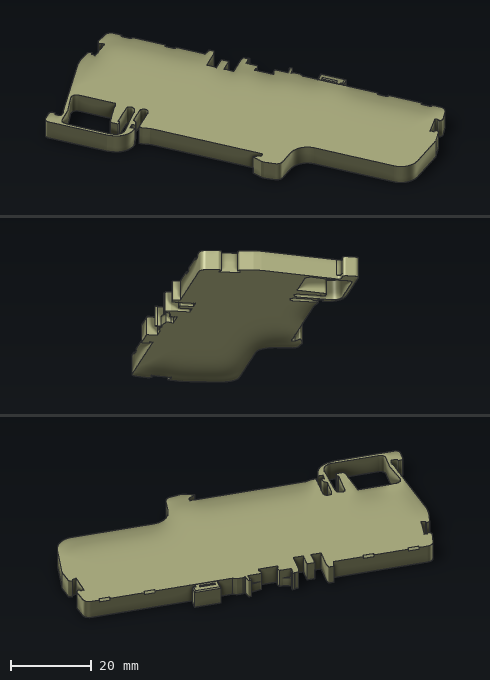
import cadquery as cq
import math


LENGTH = 93.91
HEIGHT = 42.41
THICKNESS = 5.0

HALF_LENGTH = LENGTH / 2
TOP_OF_TAG = HEIGHT / 2
FOOT_BOTTOM = -HEIGHT / 2
Z_BOTTOM = -THICKNESS / 2
Z_TOP = THICKNESS / 2

TOP_EDGE = 18.5
RAIL_EDGE = -14.9
SHOULDER_EDGE = -8.1
OVERLAP = 0.5

FOOT_LEFT = -46.65
FOOT_TOP = -17.15
FOOT_RADIUS = 1.2
FOOT_TOP_RADIUS = 0.8
FOOT_WALL = 0.85
WINDOW_TOP = -8.3
WINDOW_LEFT = -42.6
TONGUE_BOTTOM = -16.0
TONGUE_RIGHT = -29.4
TONGUE_BARB = 0.4
TONGUE_BARB_HEIGHT = 1.1

ARM_SLOT_LEFT = -26.0
ARM_SLOT_RIGHT = -23.75
ARM_SLOT_TOP = -8.0

RELIEF_LEFT = -45.2
RELIEF_RIGHT = -43.45
RELIEF_FLOOR = -17.75
RELIEF_TOP = -16.1
LEDGE_THICKNESS = 1.0

PEG_AXIS = -13.4
PEG_TOP = 20.35
PEG_WIDTH = 1.7
PEG_TAPER = 0.3
PEG_TAPER_START = 19.0
PEG_FLARE = 0.3
PEG_FLARE_TOP = 19.95
BRIDGE_SLOT_FLOOR = 14.3
BRIDGE_SLOT_OUTER = 3.55
POST_HALF_WIDTH = 1.0
POST_TOP = 17.7
HOOK_TOP = 20.6
HOOK_DEPTH = 0.6
HOOK_REACH = 0.3
HOOK_LENGTH = 0.65

LATCH_FLOOR = 16.6
LATCH_LEFT = -5.15
LATCH_RIGHT = -0.25
LATCH_UNDERCUT = 0.3
LATCH_UNDERCUT_TOP = 17.2
LATCH_LEAD_IN = 0.7
PIN_LEFT = 2.9
PIN_HOOK_LEFT = 2.6
HUMP_LEFT = 3.7
HUMP_RIGHT = 6.9
HUMP_RISE = 0.5
PEG_HOOK_ROOT = PEG_AXIS + BRIDGE_SLOT_OUTER + PEG_WIDTH
PEG_WEDGE_END = -6.1
PIN_WEDGE_END = -0.2
WEDGE_RISE = 0.6
WEDGE_HEIGHT = THICKNESS / 2

TAG_LEFT = 10.55
TAG_RIGHT = 17.35
TAG_NECK_RIGHT = 16.5
TAG_DROP = 0.1
TAG_NECK_TOP = 19.2
TAG_CHAMFER = 0.3
RAMP_LEFT = 11.6
RAMP_RIGHT = 15.5
RAMP_START = 19.7
RAMP_END = 19.1
RAMP_DEPTH = 0.35

RECESS_OFFSETS = (28.05, 39.6)
RECESS_WIDTH = 2.7
RECESS_INSET = 0.55
RECESS_DEPTH = 0.55


def rounded_corner(before, corner, after):
    """Start, middle and end of the arc that rounds a corner; the middle is None if it is sharp."""
    x, y, radius = corner
    point = cq.Vector(x, y)
    if radius == 0:
        return point, None, point
    to_before = (cq.Vector(*before[:2]) - point).normalized()
    to_after = (cq.Vector(*after[:2]) - point).normalized()
    half_angle = to_before.getAngle(to_after) / 2
    setback = radius / math.tan(half_angle)
    bisector = (to_before + to_after).normalized()
    middle = point + bisector * (radius / math.sin(half_angle) - radius)
    return point + to_before * setback, middle, point + to_after * setback


def rounded_outline(corners):
    """Closed outline through (x, y, radius) corners; a radius of 0 leaves the corner sharp."""
    following = corners[1:] + corners[:1]
    preceding = corners[-1:] + corners[:-1]
    arcs = [rounded_corner(*trio) for trio in zip(preceding, corners, following)]
    first_start, first_middle, first_end = arcs[0]
    outline = cq.Workplane("XY", origin=(0, 0, Z_BOTTOM)).moveTo(first_end.x, first_end.y)
    for start, middle, end in arcs[1:]:
        outline = outline.lineTo(start.x, start.y)
        if middle is not None:
            outline = outline.threePointArc((middle.x, middle.y), (end.x, end.y))
    if first_middle is not None:
        outline = outline.lineTo(first_start.x, first_start.y)
        outline = outline.threePointArc((first_middle.x, first_middle.y), (first_end.x, first_end.y))
    return outline.close()


def plate(corners, thickness=THICKNESS):
    """Solid standing on the bottom face with the given rounded outline."""
    return rounded_outline(corners).extrude(thickness)


def block(x_min, x_max, y_min, y_max, z_min=Z_BOTTOM, z_max=Z_TOP):
    """Axis-aligned box between the given limits."""
    size = (x_max - x_min, y_max - y_min, z_max - z_min)
    return cq.Workplane("XY").box(*size, centered=False).translate((x_min, y_min, z_min))


def mirrored(corners):
    """The same corners mirrored across the YZ plane, in reverse order."""
    return [(-x, y, radius) for x, y, radius in reversed(corners)]


def housing():
    """Main plate with the snap notches at both ends, the rail hook and the outside of the foot."""
    end_notch = [
        (44.65, TOP_EDGE, 1.8),
        (45.55, 13.9, 0.5),
        (45.0, 13.05, 0.2),
        (44.4, 13.5, 0),
        (43.6, 13.5, 0),
        (44.2, 8.35, 0),
        (45.2, 8.6, 0),
        (45.4, 9.2, 0),
        (46.3, 8.85, 0.3),
    ]
    right_end = [
        (HALF_LENGTH, 5.1, 0),
        (45.05, SHOULDER_EDGE, 4.8),
    ]
    rail_hook = [
        (15.6, SHOULDER_EDGE, 4.8),
        (14.35, -17.4, 1.7),
        (10.3, -17.95, 0),
        (9.5, -17.85, 0),
        (6.7, -16.8, 0.15),
        (8.7, -15.85, 0),
        (8.7, RAIL_EDGE, 0),
    ]
    slot_radius = (ARM_SLOT_RIGHT - ARM_SLOT_LEFT) / 2 - 0.02
    arm = [
        (-20.9, RAIL_EDGE, 0),
        (ARM_SLOT_RIGHT + 1.0, RAIL_EDGE - 0.45, 0),
        (ARM_SLOT_RIGHT, RAIL_EDGE - 0.5, 0),
        (ARM_SLOT_RIGHT, ARM_SLOT_TOP, slot_radius),
        (ARM_SLOT_LEFT, ARM_SLOT_TOP, slot_radius),
        (ARM_SLOT_LEFT, -13.1, 0),
        (-25.2, -13.7, 0.5),
        (-24.9, RAIL_EDGE, 0),
        (-25.75, RAIL_EDGE, 0),
        (-25.75, -16.25, 0),
        (-24.5, -16.25, 0),
        (-24.9, -20.3, 4.8),
        (-30.0, FOOT_BOTTOM, 0),
    ]
    foot = [
        (FOOT_LEFT, FOOT_BOTTOM, FOOT_RADIUS),
        (FOOT_LEFT, FOOT_TOP, FOOT_TOP_RADIUS),
        (-43.4, FOOT_TOP, 0.8),
        (-44.9, -8.4, 0),
        (-HALF_LENGTH, 3.5, 0),
        (-HALF_LENGTH, 5.5, 0),
    ]
    return plate(end_notch + right_end + rail_hook + arm + foot + mirrored(end_notch))


def foot_window():
    """Opening inside the spring foot; a barbed tongue hangs into it from above."""
    window_bottom = FOOT_BOTTOM + FOOT_WALL
    tongue_barb_right = TONGUE_RIGHT + TONGUE_BARB
    tongue_barb_top = TONGUE_BOTTOM + TONGUE_BARB_HEIGHT
    return plate([
        (-44.15, WINDOW_TOP, 1.5),
        (-32.55, WINDOW_TOP, 0),
        (-31.2, TONGUE_BOTTOM, 0.7),
        (tongue_barb_right, TONGUE_BOTTOM, 0),
        (tongue_barb_right, tongue_barb_top, 0),
        (TONGUE_RIGHT, tongue_barb_top, 0),
        (TONGUE_RIGHT, WINDOW_TOP + 0.1, 0.9),
        (-27.15, WINDOW_TOP - 0.2, 1.5),
        (-26.35, window_bottom, 2.5),
        (WINDOW_LEFT, window_bottom, 1.3),
        (WINDOW_LEFT, -15.3, 0),
    ])


def foot_relief():
    """Rounded relief in the inner corner of the foot; a thin ledge remains below it."""
    cutter = plate([
        (RELIEF_LEFT, RELIEF_FLOOR, 0.4),
        (RELIEF_RIGHT, RELIEF_FLOOR, 0.4),
        (RELIEF_RIGHT, RELIEF_TOP, 0),
        (RELIEF_LEFT, RELIEF_TOP, 0),
    ])
    return cutter.translate((0, 0, LEDGE_THICKNESS))


def peg(side):
    """Tapered peg outside a bridge slot; side is -1 or +1 from the peg axis."""
    inner = BRIDGE_SLOT_OUTER
    outer = inner + PEG_WIDTH
    corners = [
        (inner, TOP_EDGE - OVERLAP, 0),
        (inner, PEG_TAPER_START, 0),
        (inner + PEG_TAPER, PEG_TOP, 0.25),
        (outer, PEG_TOP, 0),
        (outer, TOP_EDGE - OVERLAP, 0),
    ]
    return plate([(PEG_AXIS + side * x, y, radius) for x, y, radius in corners])


def peg_details():
    """Flared root of the left peg and the hook on the right peg."""
    root_x = PEG_AXIS - BRIDGE_SLOT_OUTER - PEG_WIDTH
    root = plate([
        (root_x, PEG_FLARE_TOP, 0),
        (root_x - PEG_FLARE, TOP_EDGE, 0),
        (root_x, TOP_EDGE - OVERLAP, 0),
    ])
    hook_right = PEG_AXIS + BRIDGE_SLOT_OUTER + PEG_WIDTH + HOOK_REACH
    hook = block(hook_right - HOOK_LENGTH, hook_right, HOOK_TOP - HOOK_DEPTH, HOOK_TOP)
    return root.union(hook)


def bridge_slots():
    """Pair of slots between the pegs, with a post left standing between them."""
    slots = block(PEG_AXIS - BRIDGE_SLOT_OUTER, PEG_AXIS + BRIDGE_SLOT_OUTER, BRIDGE_SLOT_FLOOR, HOOK_TOP)
    post = block(PEG_AXIS - POST_HALF_WIDTH, PEG_AXIS + POST_HALF_WIDTH, BRIDGE_SLOT_FLOOR, POST_TOP)
    return slots.cut(post)


def latch_pocket():
    """Shallow pocket in the upper edge, undercut at both ends."""
    left_lip = LATCH_LEFT + LATCH_UNDERCUT
    right_lip = LATCH_RIGHT - LATCH_UNDERCUT
    return plate([
        (LATCH_LEFT, LATCH_FLOOR, 0),
        (LATCH_RIGHT, LATCH_FLOOR, 0),
        (LATCH_RIGHT, LATCH_UNDERCUT_TOP, 0),
        (right_lip, LATCH_UNDERCUT_TOP, 0),
        (right_lip, TOP_EDGE + OVERLAP, 0),
        (LATCH_LEFT, TOP_EDGE + OVERLAP, 0),
        (LATCH_LEFT, TOP_EDGE, 0),
        (left_lip, TOP_EDGE - LATCH_LEAD_IN, 0),
        (left_lip, LATCH_UNDERCUT_TOP, 0),
        (LATCH_LEFT, LATCH_UNDERCUT_TOP, 0),
    ])


def latch_pin():
    """Slim hooked pin with a low hump on its +X side."""
    base = TOP_EDGE - OVERLAP
    hook_bottom = HOOK_TOP - HOOK_DEPTH
    pin = plate([
        (PIN_LEFT, base, 0),
        (PIN_LEFT, hook_bottom, 0),
        (PIN_HOOK_LEFT, hook_bottom, 0),
        (PIN_HOOK_LEFT, HOOK_TOP, 0),
        (3.3, HOOK_TOP, 0.25),
        (3.6, 19.3, 0),
        (3.8, base, 0),
    ])
    hump_top = TOP_EDGE + HUMP_RISE
    hump = plate([
        (HUMP_LEFT, base, 0),
        (HUMP_LEFT, TOP_EDGE + 0.3, 0),
        (4.3, hump_top, 0),
        (5.9, hump_top, 0.6),
        (HUMP_RIGHT, TOP_EDGE, 0),
        (HUMP_RIGHT, base, 0),
    ])
    return pin.union(hump)


def hook_wedges():
    """Ramps at the roots of the two hooks, filling the lower half of the thickness."""
    base = TOP_EDGE - OVERLAP
    wedges = cq.Workplane("XY")
    for high_x, low_x in ((PEG_HOOK_ROOT, PEG_WEDGE_END), (PIN_LEFT, PIN_WEDGE_END)):
        wedges = wedges.add(plate([
            (high_x, base, 0),
            (high_x, TOP_EDGE + WEDGE_RISE, 0),
            (low_x, TOP_EDGE, 0),
            (low_x, base, 0),
        ], WEDGE_HEIGHT))
    return wedges


def bevel_cutter(x_min, x_max, y_edge, y_deep, z_face, depth):
    """Wedge that slopes down from y_edge on a top face to the given depth at y_deep."""
    return (
        cq.Workplane("YZ", origin=(x_min, 0, 0))
        .moveTo(y_edge, z_face)
        .lineTo(y_deep, z_face - depth)
        .lineTo(y_deep, z_face)
        .close()
        .extrude(x_max - x_min)
    )


def marker_tag():
    """Tag on the upper edge: bevelled top rim, stepped +X side and a sloped finger ramp."""
    tag_face = Z_TOP - TAG_DROP
    head = block(TAG_LEFT, TAG_RIGHT, TAG_NECK_TOP, TOP_OF_TAG, Z_BOTTOM, tag_face)
    neck = block(TAG_LEFT, TAG_NECK_RIGHT, TOP_EDGE - OVERLAP, TAG_NECK_TOP, Z_BOTTOM, tag_face)
    tag = head.union(neck).clean()
    tag = tag.faces(">Z").edges(">Y or <X or >X").chamfer(TAG_CHAMFER)
    return tag.cut(bevel_cutter(RAMP_LEFT, RAMP_RIGHT, RAMP_START, RAMP_END, tag_face, RAMP_DEPTH))


def marking_recesses():
    """Four short bevels along the upper edge, open to the top face."""
    recesses = cq.Workplane("XY")
    for offset in RECESS_OFFSETS:
        for centre in (-offset, offset):
            x_min = centre - RECESS_WIDTH / 2
            x_max = centre + RECESS_WIDTH / 2
            recesses = recesses.add(
                bevel_cutter(x_min, x_max, TOP_EDGE - RECESS_INSET, TOP_EDGE, Z_TOP, RECESS_DEPTH)
            )
    return recesses


result = housing().cut(foot_window()).cut(foot_relief())
result = result.union(peg(-1)).union(peg(1)).union(peg_details())
result = result.cut(bridge_slots())
result = result.union(hook_wedges())
result = result.cut(latch_pocket()).union(latch_pin()).union(marker_tag())
result = result.cut(marking_recesses())